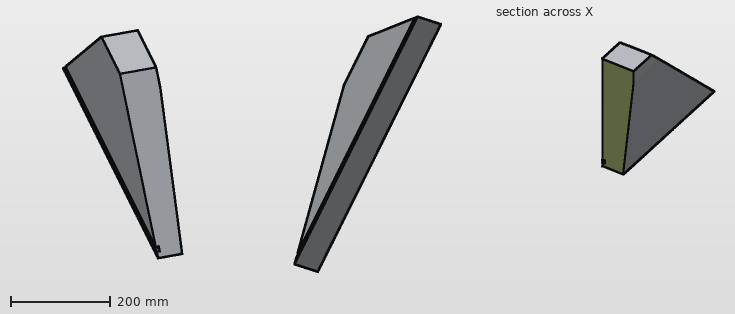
import cadquery as cq
import math

base_width = 666.07
top_width = 130.3
height = 271.46
depth = 76.2

base_depth = 50.8
back_slope = math.radians(6)

groove_size = 6.35
groove_bottom = 9.525

front_y = -depth / 2
back_y = depth / 2
base_back_y = front_y + base_depth
slope_top_z = (depth - base_depth) / math.tan(back_slope)


def trapezoid_prism():
    """Symmetric trapezoid standing on its long side, extruded over the full depth."""
    outline = [
        (-base_width / 2, 0),
        (base_width / 2, 0),
        (top_width / 2, height),
        (-top_width / 2, height),
    ]
    return cq.Workplane("XZ", origin=(0, back_y, 0)).polyline(outline).close().extrude(depth)


def grooved_slab():
    """Full-width slab with a grooved flat front and a back that leans outward to an upright top."""
    groove_top = groove_bottom + groove_size
    groove_floor_y = front_y + groove_size
    outline = [
        (front_y, 0),
        (base_back_y, 0),
        (back_y, slope_top_z),
        (back_y, height),
        (front_y, height),
        (front_y, groove_top),
        (groove_floor_y, groove_top),
        (groove_floor_y, groove_bottom),
        (front_y, groove_bottom),
    ]
    return cq.Workplane("YZ").polyline(outline).close().extrude(base_width / 2, both=True)


result = trapezoid_prism().intersect(grooved_slab())